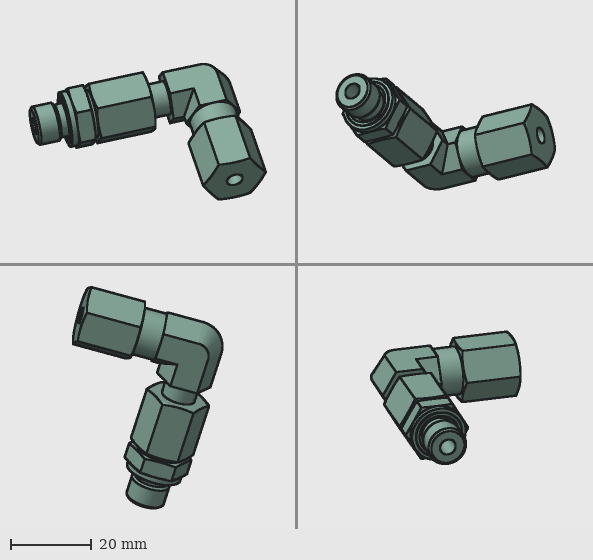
import cadquery as cq
import math


nut_flats = 14.0
body_flats = 12.0
bore_diameter = 4.05
drill_point_angle = math.radians(120)
thread_diameter = 9.7

x_body_end = 9.1
x_neck_diameter = 12.0
x_nut_start = 14.9
nut_length = 14.5
x_nut_end = x_nut_start + nut_length

y_body_end = 9.55
y_neck_diameter = 8.45
y_nut_start = 14.2
y_nut_end = y_nut_start + nut_length
collar_diameter = 12.15
locknut_start = 29.7
locknut_end = 33.95
washer_diameter = 13.9
washer_end = 35.55
seal_diameter = 11.9
seal_end = 35.9
countersink_diameter = 10.15
groove_diameter = 8.35
runout_start = 37.6
overall_length = 51.65
stud_end = overall_length - nut_flats / math.sqrt(3)
stud_chamfer = 0.55

nut_chamfer_angle = math.radians(17)
locknut_chamfer_angle = math.radians(10)

x_arm = cq.Plane(origin=(0, 0, 0), xDir=(0, 1, 0), normal=(1, 0, 0))
y_arm = cq.Plane(origin=(0, 0, 0), xDir=(1, 0, 0), normal=(0, -1, 0))


def cylinder(arm, diameter, start, end):
    """Round bar along an arm."""
    return cq.Workplane(arm).workplane(offset=start).circle(diameter / 2).extrude(end - start)


def hexagon(arm, flats, start, end):
    """Hexagonal bar along an arm, with two flats parallel to the XY plane."""
    corner_diameter = 2 * flats / math.sqrt(3)
    return cq.Workplane(arm).workplane(offset=start).polygon(6, corner_diameter).extrude(end - start)


def nut(arm, start, end, chamfer_angle):
    """Hexagonal nut with its corners chamfered at both ends."""
    flat_radius = nut_flats / 2
    corner_radius = nut_flats / math.sqrt(3)
    chamfer_height = (corner_radius - flat_radius) * math.tan(chamfer_angle)
    turned_blank = (
        cq.Workplane(arm)
        .workplane(offset=start)
        .circle(corner_radius)
        .extrude(end - start)
        .edges("%CIRCLE")
        .chamfer(chamfer_height, corner_radius - flat_radius)
    )
    return hexagon(arm, nut_flats, start, end).intersect(turned_blank)


def elbow_body():
    """Two hexagonal arms joined by a double cone that rounds the outer corner."""
    corner_radius = body_flats / math.sqrt(3)
    half_height = body_flats / 2
    corner = (
        cq.Workplane("XZ")
        .moveTo(0, -half_height)
        .lineTo(corner_radius / 2, -half_height)
        .lineTo(corner_radius, 0)
        .lineTo(corner_radius / 2, half_height)
        .lineTo(0, half_height)
        .close()
        .revolve(360, (0, 0, 0), (0, 1, 0))
    )
    arms = hexagon(x_arm, body_flats, 0, x_body_end).union(hexagon(y_arm, body_flats, 0, y_body_end))
    return arms.union(corner)


def threaded_stud():
    """Undercut, conical thread run-out and threaded end, turned about the Y axis."""
    groove_radius = groove_diameter / 2
    thread_radius = thread_diameter / 2
    runout_end = runout_start + thread_radius - groove_radius
    return (
        cq.Workplane("XY")
        .moveTo(0, -locknut_start)
        .lineTo(groove_radius, -locknut_start)
        .lineTo(groove_radius, -runout_start)
        .lineTo(thread_radius, -runout_end)
        .lineTo(thread_radius, -stud_end + stud_chamfer)
        .lineTo(thread_radius - stud_chamfer, -stud_end)
        .lineTo(0, -stud_end)
        .close()
        .revolve(360, (0, 0, 0), (0, 1, 0))
    )


def washer_and_seal():
    """Washer with a thinner seal ring on its outer face."""
    washer = cylinder(y_arm, washer_diameter, locknut_end, washer_end)
    seal = cylinder(y_arm, seal_diameter, washer_end, seal_end)
    return washer.union(seal)


def seal_countersink():
    """45-degree countersink in the seal face, ending at the stud's undercut."""
    rim_radius = countersink_diameter / 2
    return (
        cq.Workplane("XY")
        .moveTo(0, -seal_end)
        .lineTo(rim_radius, -seal_end)
        .lineTo(0, -seal_end + rim_radius)
        .close()
        .revolve(360, (0, 0, 0), (0, 1, 0))
    )


def drilling(arm, end):
    """Round passage from the end of an arm to the origin, with a conical drill point beyond it."""
    radius = bore_diameter / 2
    point_depth = radius / math.tan(drill_point_angle / 2)
    half_section = cq.Plane(origin=arm.origin, xDir=(0, 0, 1), normal=arm.zDir.cross(cq.Vector(0, 0, -1)))
    return (
        cq.Workplane(half_section)
        .moveTo(0, -point_depth)
        .lineTo(radius, 0)
        .lineTo(radius, end)
        .lineTo(0, end)
        .close()
        .revolve(360, (0, 0, 0), (0, 1, 0))
    )


result = (
    elbow_body()
    .union(cylinder(x_arm, x_neck_diameter, x_body_end, x_nut_start))
    .union(nut(x_arm, x_nut_start, x_nut_end, nut_chamfer_angle))
    .union(cylinder(y_arm, y_neck_diameter, y_body_end, y_nut_start))
    .union(nut(y_arm, y_nut_start, y_nut_end, nut_chamfer_angle))
    .union(cylinder(y_arm, collar_diameter, y_nut_end, locknut_start))
    .union(nut(y_arm, locknut_start, locknut_end, locknut_chamfer_angle))
    .union(washer_and_seal())
    .cut(seal_countersink())
    .union(threaded_stud())
    .cut(drilling(x_arm, x_nut_end))
    .cut(drilling(y_arm, stud_end))
)